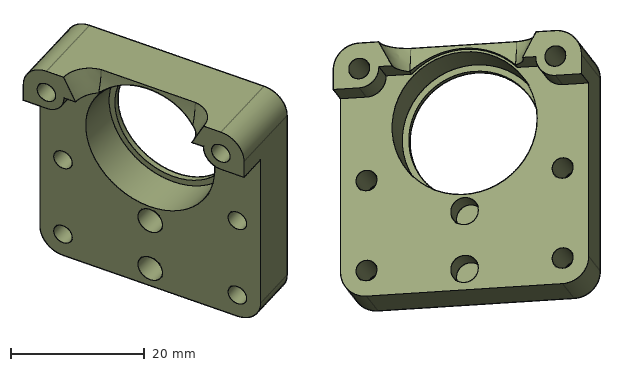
import cadquery as cq
import math

side = 38.0
half_side = side / 2
plate_thickness = 8.0
total_depth = 13.0
corner_radius = 4.0

screw_diameter = 3.2
screw_inset = corner_radius
screw_x = half_side - screw_inset
top_screw_z = side - screw_inset
middle_screw_z = 18.0

bore_z = 26.0
seat_diameter = 22.2
lip_diameter = 20.2
lip_thickness = 1.0
rail_bore_diameter = 22.95

pin_diameter = 4.2
pin_depth = 4.0
lower_pin_z = 3.25
pin_spacing = 9.0

rail_height = 3.88
rail_bottom_z = side - rail_height
boss_radius = 3.0
ear_height = screw_inset + boss_radius

relief_top_half = 12.05
relief_bottom_half = 10.0
relief_radius = 4.45
relief_flat_half = math.sqrt((rail_bore_diameter / 2) ** 2 - (rail_bottom_z - bore_z) ** 2)

overlap = 0.38


def cylinder_y(x, z, diameter, y_front, y_back):
    """Cylinder along Y between two depths."""
    return cq.Workplane("XZ", origin=(x, y_back, z)).circle(diameter / 2).extrude(y_back - y_front)


def rounded_slab(depth):
    """Rounded square slab reaching forward from the back face."""
    slab = cq.Workplane("XY").box(side, depth, side, centered=(True, False, False))
    return slab.translate((0, -depth, 0)).edges("|Y").fillet(corner_radius)


def make_rail():
    """Full-width strip along the top edge, rounded around the two top screws."""
    rail = cq.Workplane("XY", origin=(0, 0, rail_bottom_z)).box(
        side, 2 * total_depth, rail_height, centered=(True, True, False)
    )
    for direction in (-1, 1):
        boss = cylinder_y(direction * screw_x, top_screw_z, 2 * boss_radius, -total_depth, 0)
        ear_root = cq.Workplane("XY").box(screw_inset, total_depth, ear_height).translate(
            (direction * (half_side - screw_inset / 2), -total_depth / 2, side - ear_height / 2)
        )
        rail = rail.union(boss).union(ear_root)
    return rounded_slab(total_depth).intersect(rail)


def make_relief():
    """Scoop with two leaning round ends and an elliptical floor swept straight between them."""
    front = -total_depth
    lower_center = relief_bottom_half - relief_radius
    upper_center = relief_top_half - relief_radius
    rise_per_lean = rail_height / (upper_center - lower_center)

    floor_center_z = side + (relief_flat_half - upper_center) * rise_per_lean
    relief = (
        cq.Workplane("YZ", origin=(-relief_flat_half, front, floor_center_z))
        .ellipse(relief_radius, relief_radius * rise_per_lean)
        .extrude(2 * relief_flat_half)
    )
    for direction in (-1, 1):
        leaning_end = (
            cq.Workplane("XY", origin=(0, front, rail_bottom_z))
            .center(direction * lower_center, 0)
            .circle(relief_radius)
            .workplane(offset=rail_height)
            .center(direction * (upper_center - lower_center), 0)
            .circle(relief_radius)
            .loft(ruled=True)
        )
        outer_zone = cq.Workplane("XY").box(side, 2 * total_depth, side).translate(
            (direction * (relief_flat_half + half_side), front, half_side)
        )
        relief = relief.union(leaning_end.intersect(outer_zone))
    return relief


body = rounded_slab(plate_thickness).union(make_rail()).cut(make_relief())

body = body.cut(cylinder_y(0, bore_z, rail_bore_diameter, -total_depth - overlap, -plate_thickness))
body = body.cut(cylinder_y(0, bore_z, seat_diameter, -plate_thickness - overlap, -lip_thickness))
body = body.cut(cylinder_y(0, bore_z, lip_diameter, -plate_thickness, overlap))

for z in (screw_inset, middle_screw_z, top_screw_z):
    for x in (-screw_x, screw_x):
        body = body.cut(cylinder_y(x, z, screw_diameter, -total_depth - overlap, overlap))

for z in (lower_pin_z, lower_pin_z + pin_spacing):
    body = body.cut(
        cylinder_y(0, z, pin_diameter, -plate_thickness - overlap, pin_depth - plate_thickness)
    )

result = body